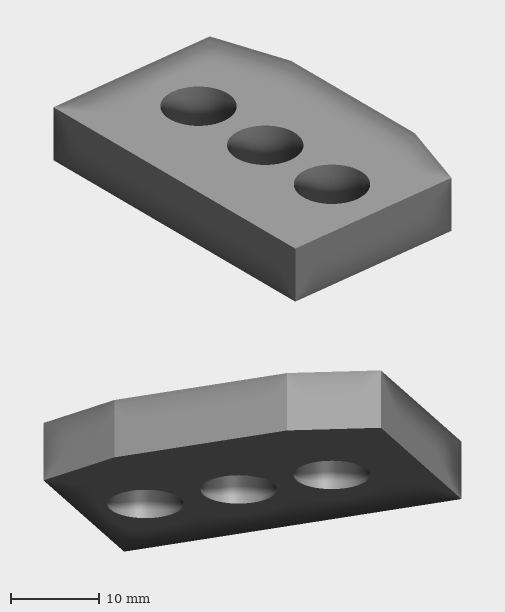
import cadquery as cq

length = 41.4
width = 26.9
thickness = 7.0

corner_length = 10.1
corner_depth = 3.35

hole_diameter = 8.65
hole_count = 3
hole_pitch = 11.43
first_hole_x = 10.7
hole_row_y = 12.45

shoulder_y = width - corner_depth
outline = [
    (0, 0),
    (length, 0),
    (length, shoulder_y),
    (length - corner_length, width),
    (corner_length, width),
    (0, shoulder_y),
]
plate = cq.Workplane("XY").polyline(outline).close().extrude(thickness)

hole_centers = [(first_hole_x + i * hole_pitch, hole_row_y) for i in range(hole_count)]
holes = (
    cq.Workplane("XY")
    .pushPoints(hole_centers)
    .circle(hole_diameter / 2)
    .extrude(thickness)
)

result = plate.cut(holes)